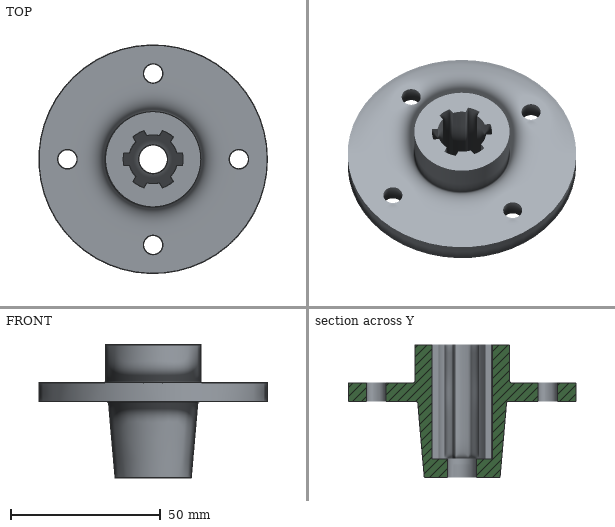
import cadquery as cq
import math

FLANGE_DIAMETER = 76.2
FLANGE_THICKNESS = 6.35

BOSS_DIAMETER = 31.75
BOSS_HEIGHT = 12.7

SPIGOT_TIP_DIAMETER = 25.4
SPIGOT_LENGTH = 25.4
SPIGOT_TAPER_DEGREES = 5.0

ROOT_FILLET = 0.508

SPLINE_COUNT = 6
SPLINE_MINOR_DIAMETER = 16.3
SPLINE_MAJOR_DIAMETER = 20.0
SPLINE_GROOVE_WIDTH = 4.2
SOCKET_FLOOR_THICKNESS = 6.35
BORE_DIAMETER = 9.525

BOLT_COUNT = 4
BOLT_HOLE_DIAMETER = 6.35
BOLT_CIRCLE_DIAMETER = 57.15

BOSS_TOP = FLANGE_THICKNESS + BOSS_HEIGHT
SPIGOT_BOTTOM = -SPIGOT_LENGTH
SOCKET_FLOOR = SPIGOT_BOTTOM + SOCKET_FLOOR_THICKNESS
SOCKET_DEPTH = BOSS_TOP - SOCKET_FLOOR
SPIGOT_TIP_RADIUS = SPIGOT_TIP_DIAMETER / 2
SPIGOT_ROOT_RADIUS = SPIGOT_TIP_RADIUS + SPIGOT_LENGTH * math.tan(math.radians(SPIGOT_TAPER_DEGREES))


def hub_body():
    """Solid of revolution: boss, flange and tapered spigot, with filleted roots."""
    boss_radius = BOSS_DIAMETER / 2
    flange_radius = FLANGE_DIAMETER / 2
    body = (
        cq.Workplane("XZ")
        .moveTo(0, SPIGOT_BOTTOM)
        .lineTo(SPIGOT_TIP_RADIUS, SPIGOT_BOTTOM)
        .lineTo(SPIGOT_ROOT_RADIUS, 0)
        .lineTo(flange_radius, 0)
        .lineTo(flange_radius, FLANGE_THICKNESS)
        .lineTo(boss_radius, FLANGE_THICKNESS)
        .lineTo(boss_radius, BOSS_TOP)
        .lineTo(0, BOSS_TOP)
        .close()
        .revolve(360, (0, 0, 0), (0, 1, 0))
    )
    circles = body.edges("%CIRCLE")
    spigot_root = circles.edges(cq.selectors.RadiusNthSelector(1))
    boss_root = circles.edges(cq.selectors.RadiusNthSelector(2)).edges("<Z")
    return spigot_root.add(boss_root).fillet(ROOT_FILLET)


def splined_socket():
    """Cutter for the socket: minor bore plus radial grooves reaching the major diameter."""
    floor = cq.Workplane("XY").workplane(offset=SOCKET_FLOOR)
    grooves_limit = floor.circle(SPLINE_MAJOR_DIAMETER / 2).extrude(SOCKET_DEPTH)
    socket = floor.circle(SPLINE_MINOR_DIAMETER / 2).extrude(SOCKET_DEPTH)
    groove_pitch = 360 / SPLINE_COUNT
    bar_length = 2 * SPLINE_MAJOR_DIAMETER
    bar = floor.rect(bar_length, SPLINE_GROOVE_WIDTH).extrude(SOCKET_DEPTH)
    for index in range(SPLINE_COUNT // 2):
        turned_bar = bar.rotate((0, 0, 0), (0, 0, 1), index * groove_pitch)
        socket = socket.union(turned_bar.intersect(grooves_limit))
    return socket


def through_bore():
    """Cutter for the central bore through the socket floor."""
    return (
        cq.Workplane("XY")
        .workplane(offset=SPIGOT_BOTTOM)
        .circle(BORE_DIAMETER / 2)
        .extrude(BOSS_TOP - SPIGOT_BOTTOM)
    )


def bolt_holes():
    """Cutters for the bolt holes, evenly spaced from the X axis."""
    return (
        cq.Workplane("XY")
        .polarArray(BOLT_CIRCLE_DIAMETER / 2, 0, 360, BOLT_COUNT)
        .circle(BOLT_HOLE_DIAMETER / 2)
        .extrude(FLANGE_THICKNESS)
    )


result = hub_body().cut(splined_socket()).cut(through_bore()).cut(bolt_holes())